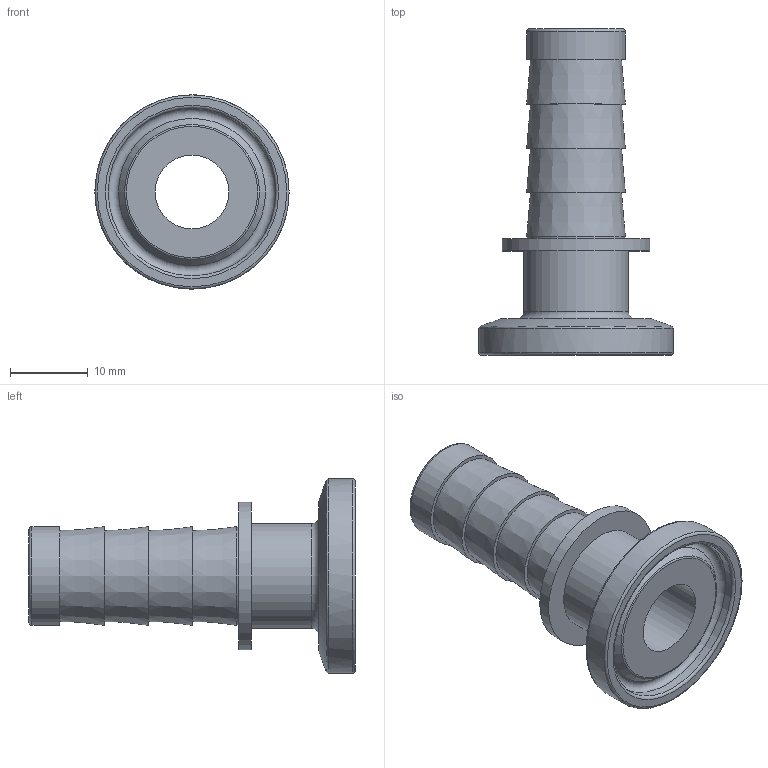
import cadquery as cq
import math

total_length = 42.0
bore_radius = 4.75

flange_radius = 12.5
flange_rim_length = 3.65
flange_length = 4.7
flange_back_slope = math.radians(20)
flange_front_round = 0.3
flange_back_round = 0.3

land_recess = 0.9
groove_inner_radius = 8.6
groove_outer_radius = 10.8
groove_floor_round = 0.75
groove_flank_angle = math.radians(40)
groove_inner_edge_round = 0.3
groove_outer_edge_round = 0.35

neck_radius = 6.75
neck_root_round = 0.9
collar_radius = 9.5
collar_front = 13.4
collar_back = 15.0

relief_radius = 6.25
barb_radius = 6.35
barb_root_radius = 5.85
barb_count = 4
barbs_start = 15.25
barbs_end = 38.0
stem_end_round = 0.4


def revolve_about_y(profile):
    """Revolve a closed (radius, Y) profile a full turn about the Y axis."""
    return profile.close().revolve(360, (0, 0, 0), (0, 1, 0))


def cylinder(radius, start, end):
    """Solid cylinder along Y between two stations."""
    profile = cq.Workplane("XY").moveTo(0, start).lineTo(radius, start).lineTo(radius, end).lineTo(0, end)
    return revolve_about_y(profile)


def round_edge(body, radius, station, size):
    """Round the circular edges that pass through (radius, station)."""
    reach = 0.01
    box = cq.selectors.BoxSelector(
        (-radius - reach, station - reach, -radius - reach),
        (radius + reach, station + reach, radius + reach),
        boundingbox=True,
    )
    largest = cq.selectors.RadiusNthSelector(-1)
    return body.edges(box).edges(largest).fillet(size)


def make_recess():
    """Recess down to the land, with a groove around it.

    The groove has a sloped inner flank, a rounded floor and a straight outer wall.
    """
    sine = math.sin(groove_flank_angle)
    cosine = math.cos(groove_flank_angle)
    center_radius = groove_outer_radius - groove_floor_round
    flank_end_radius = center_radius - groove_floor_round * cosine
    flank_end_depth = land_recess + (flank_end_radius - groove_inner_radius) / math.tan(groove_flank_angle)
    center_depth = flank_end_depth - groove_floor_round * sine

    middle_angle = (math.pi - groove_flank_angle) / 2
    middle_radius = center_radius + groove_floor_round * math.cos(middle_angle)
    middle_depth = center_depth + groove_floor_round * math.sin(middle_angle)

    profile = (
        cq.Workplane("XY")
        .lineTo(0, land_recess)
        .lineTo(groove_inner_radius, land_recess)
        .lineTo(flank_end_radius, flank_end_depth)
        .threePointArc((middle_radius, middle_depth), (groove_outer_radius, center_depth))
        .lineTo(groove_outer_radius, 0)
    )
    return revolve_about_y(profile)


def make_flange_and_neck():
    """Clamp flange with a sloped back, joined to the neck by a concave round."""
    back_radius = flange_radius - (flange_length - flange_rim_length) / math.tan(flange_back_slope)
    profile = (
        cq.Workplane("XY")
        .lineTo(flange_radius, 0)
        .lineTo(flange_radius, flange_rim_length)
        .lineTo(back_radius, flange_length)
        .lineTo(neck_radius, flange_length)
        .lineTo(neck_radius, collar_front)
        .lineTo(0, collar_front)
    )
    body = revolve_about_y(profile)
    body = round_edge(body, flange_radius, 0, flange_front_round)
    body = round_edge(body, flange_radius, flange_rim_length, flange_back_round)
    body = round_edge(body, neck_radius, flange_length, neck_root_round)
    body = body.cut(make_recess())
    body = round_edge(body, groove_inner_radius, land_recess, groove_inner_edge_round)
    return round_edge(body, groove_outer_radius, 0, groove_outer_edge_round)


def make_collar():
    """Plain stop collar."""
    return cylinder(collar_radius, collar_front, collar_back)


def make_stem():
    """Hose stem: short relief, tapered barbs and a plain rounded end."""
    barb_pitch = (barbs_end - barbs_start) / barb_count
    profile = (
        cq.Workplane("XY")
        .moveTo(0, collar_back)
        .lineTo(relief_radius, collar_back)
        .lineTo(relief_radius, barbs_start)
    )
    for index in range(barb_count):
        barb_start = barbs_start + index * barb_pitch
        profile = profile.lineTo(barb_radius, barb_start).lineTo(barb_root_radius, barb_start + barb_pitch)
    profile = (
        profile.lineTo(barb_radius, barbs_end)
        .lineTo(barb_radius, total_length)
        .lineTo(0, total_length)
    )
    return round_edge(revolve_about_y(profile), barb_radius, total_length, stem_end_round)


outside = make_flange_and_neck().union(make_collar()).union(make_stem())
result = outside.cut(cylinder(bore_radius, 0, total_length))